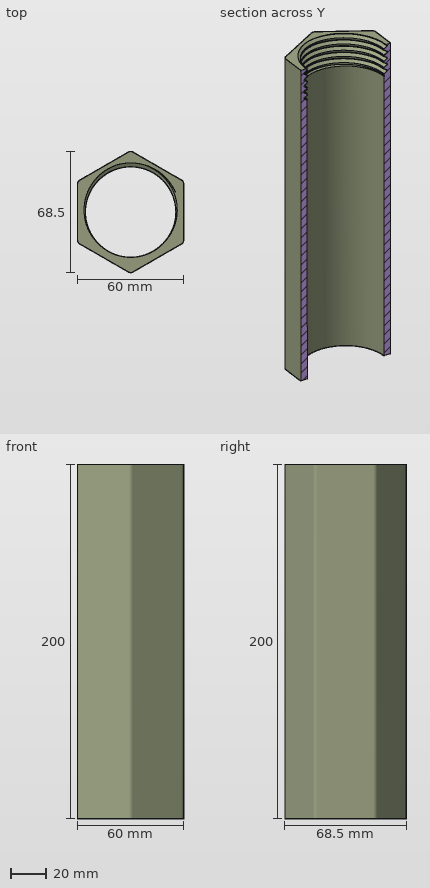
import cadquery as cq
import math

across_flats = 60.0
length = 200.0
corner_radius = 2.5
bore_diameter = 50.97
hex_sides = 6
half_side_angle = 180.0 / hex_sides

thread_diameter = 55.45
thread_pitch = 4.0
thread_turns = 5
thread_depth = thread_turns * thread_pitch
root_width = 0.35
flank_angle = 30.0
exit_angle = 90.0
bore_overlap = 0.2


def hexagonal_body():
    """Hexagonal bar with two flats facing +X and -X and rounded long edges."""
    across_corners = across_flats / math.cos(math.radians(half_side_angle))
    return (
        cq.Workplane("XY")
        .polygon(hex_sides, across_corners)
        .extrude(length)
        .rotate((0, 0, 0), (0, 0, 1), half_side_angle)
        .edges("|Z")
        .fillet(corner_radius)
    )


def through_bore():
    return cq.Workplane("XY").circle(bore_diameter / 2).extrude(length)


def groove_sweep():
    """Trapezoidal groove swept along a helix, one turn longer than the thread at each end."""
    root_radius = thread_diameter / 2
    mouth_radius = bore_diameter / 2 - bore_overlap
    half_root = root_width / 2
    half_mouth = half_root + (root_radius - mouth_radius) * math.tan(math.radians(flank_angle))

    helix = cq.Wire.makeHelix(thread_pitch, thread_depth + 2 * thread_pitch, root_radius)
    groove = (
        cq.Workplane("XZ")
        .moveTo(mouth_radius, -half_mouth)
        .lineTo(root_radius, -half_root)
        .lineTo(root_radius, half_root)
        .lineTo(mouth_radius, half_mouth)
        .close()
        .sweep(cq.Workplane(obj=helix), isFrenet=True)
    )
    start_height = length - thread_depth - thread_pitch
    return groove.rotate((0, 0, 0), (0, 0, 1), exit_angle).translate((0, 0, start_height))


def thread_cutter():
    """The groove limited to the threaded depth, so it ends on a flat step at the bottom."""
    threaded_zone = (
        cq.Workplane("XY")
        .workplane(offset=length - thread_depth)
        .circle(across_flats / 2)
        .extrude(thread_depth)
    )
    return groove_sweep().intersect(threaded_zone)


result = hexagonal_body().cut(through_bore()).cut(thread_cutter())